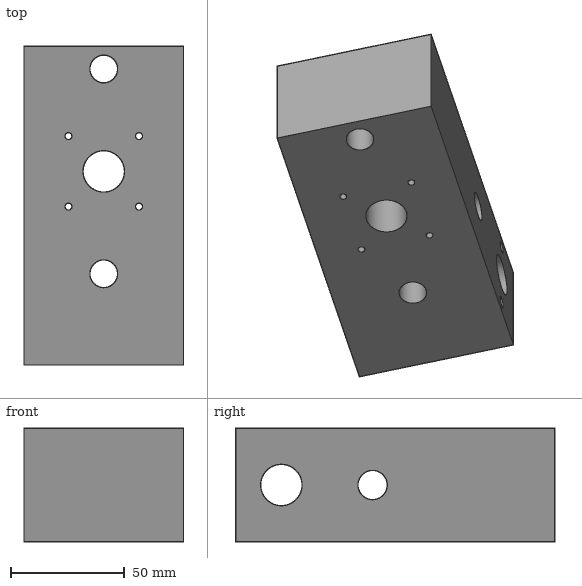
import cadquery as cq

width = 70.0
length = 140.0
height = 50.0

main_bore_diameter = 18.0
main_bore_y = 15.0
end_hole_diameter = 12.0
end_hole_offset = 45.0

screw_hole_diameter = 3.0
screw_hole_pitch = 31.0

cross_bore_diameter = 18.0
cross_bore_y = -50.0
cross_hole_diameter = 12.7
cross_hole_y = -10.0

blind_hole_diameter = 5.0
blind_hole_pitch = 38.0
blind_hole_depth = 15.0


def vertical_holes(diameter, centres):
    """Through holes along Z at (x, y) centres."""
    return (
        cq.Workplane("XY", origin=(0, 0, -height / 2))
        .pushPoints(centres)
        .circle(diameter / 2)
        .extrude(height)
    )


def cross_holes(diameter, centres, depth):
    """Holes along X at (y, z) centres, entering from the -X side."""
    return (
        cq.Workplane("YZ", origin=(-width / 2, 0, 0))
        .pushPoints(centres)
        .circle(diameter / 2)
        .extrude(depth)
    )


end_hole_centres = [(0, main_bore_y + side * end_hole_offset) for side in (-1, 1)]
screw_hole_centres = [
    (x_side * screw_hole_pitch / 2, main_bore_y + y_side * screw_hole_pitch / 2)
    for x_side in (-1, 1)
    for y_side in (-1, 1)
]
blind_hole_centres = [(cross_bore_y, side * blind_hole_pitch / 2) for side in (-1, 1)]

result = (
    cq.Workplane("XY")
    .box(width, length, height)
    .cut(vertical_holes(main_bore_diameter, [(0, main_bore_y)]))
    .cut(vertical_holes(end_hole_diameter, end_hole_centres))
    .cut(vertical_holes(screw_hole_diameter, screw_hole_centres))
    .cut(cross_holes(cross_bore_diameter, [(cross_bore_y, 0)], width))
    .cut(cross_holes(cross_hole_diameter, [(cross_hole_y, 0)], width))
    .cut(cross_holes(blind_hole_diameter, blind_hole_centres, blind_hole_depth))
)